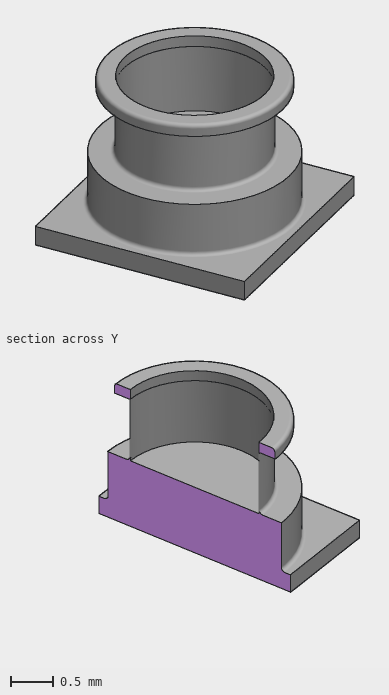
import cadquery as cq

plate_side = 2.8
plate_thickness = 0.255

collar_radius = 1.27
collar_top = 0.952
neck_radius = 0.95
rim_radius = 1.175
rim_thickness = 0.15
total_height = 1.98

bore_radius = 0.938
bore_floor = collar_top

edge_radius = 0.05


def make_plate():
    """Square plate standing on Z = 0."""
    return cq.Workplane("XY").box(
        plate_side, plate_side, plate_thickness, centered=(True, True, False)
    )


def make_turned_stages():
    """Collar, neck and rim as one revolved profile, with a concave fillet at each foot."""
    rim_underside = total_height - rim_thickness
    return (
        cq.Workplane("XZ")
        .moveTo(0, plate_thickness)
        .lineTo(collar_radius + edge_radius, plate_thickness)
        .radiusArc((collar_radius, plate_thickness + edge_radius), edge_radius)
        .lineTo(collar_radius, collar_top)
        .lineTo(neck_radius + edge_radius, collar_top)
        .radiusArc((neck_radius, collar_top + edge_radius), edge_radius)
        .lineTo(neck_radius, rim_underside)
        .lineTo(rim_radius, rim_underside)
        .lineTo(rim_radius, total_height - edge_radius)
        .radiusArc((rim_radius - edge_radius, total_height), -edge_radius)
        .lineTo(0, total_height)
        .close()
        .revolve(360, (0, 0, 0), (0, 1, 0))
    )


def make_bore():
    """Cylinder removed from the neck, leaving a thin wall and a flat floor."""
    return (
        cq.Workplane("XY", origin=(0, 0, bore_floor))
        .circle(bore_radius)
        .extrude(total_height - bore_floor)
    )


def make_housing():
    """Plate and turned stages blended into one solid, open at the top."""
    return make_plate().union(make_turned_stages()).cut(make_bore())


housing = make_housing()

result = cq.Compound.makeCompound([housing.val()])